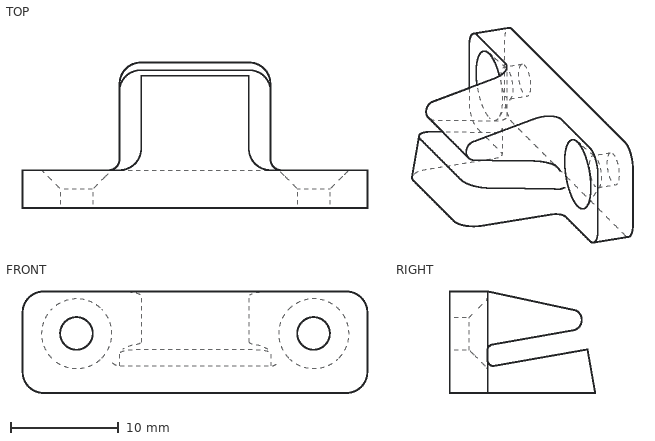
import cadquery as cq
import math

plate_length = 32.0
plate_height = 9.45
plate_thickness = 3.52
plate_corner_radius = 2.0
hole_diameter = 3.0
hole_spacing = 22.0
hole_height = 5.55
countersink_diameter = 6.5
countersink_angle = 90

slot_angle = math.radians(10)
slot_floor_height = 2.43
slot_roof_height = 4.4
slot_root_radius = 0.5
slot_slope = math.tan(slot_angle)

lower_width = 14.0
lower_reach = 13.5
lower_corner_radius = 2.0
lower_root_radius = 1.0

upper_width = 10.0
upper_reach = 12.25
upper_root_radius = 2.0
nose_radius = 1.0

overlap = 0.65
arm_start = plate_thickness - overlap


def extrude_profile(profile):
    """Extrude a Y-Z profile across the full plate length, centred on X."""
    return profile.close().extrude(plate_length / 2, both=True)


def arm_plan(width, root_radius):
    """Tall block with the arm's plan shape, flaring into the plate by arcs."""
    side = width / 2
    flare = side + root_radius
    arc_offset = root_radius * (1 - math.sqrt(0.5))
    root_end = plate_thickness + root_radius
    arc_y = plate_thickness + arc_offset
    return (
        cq.Workplane("XY")
        .moveTo(-flare, arm_start)
        .lineTo(flare, arm_start)
        .lineTo(flare, plate_thickness)
        .threePointArc((side + arc_offset, arc_y), (side, root_end))
        .lineTo(side, lower_reach)
        .lineTo(-side, lower_reach)
        .lineTo(-side, root_end)
        .threePointArc((-side - arc_offset, arc_y), (-flare, plate_thickness))
        .close()
        .extrude(plate_height)
    )


def make_plate():
    plate = (
        cq.Workplane("XY")
        .box(plate_length, plate_thickness, plate_height, centered=(True, False, False))
        .edges("|Y")
        .fillet(plate_corner_radius)
    )
    hole_centres = [(-hole_spacing / 2, hole_height), (hole_spacing / 2, hole_height)]
    return (
        plate.copyWorkplane(cq.Workplane("ZX", origin=(0, plate_thickness, 0)))
        .pushPoints([(z, x) for x, z in hole_centres])
        .cskHole(hole_diameter, countersink_diameter, countersink_angle)
    )


def make_lower_arm():
    end_top_y = lower_reach - slot_slope * (
        slot_floor_height + slot_slope * (lower_reach - plate_thickness)
    ) / (1 + slot_slope**2)
    end_top_z = slot_floor_height + slot_slope * (end_top_y - plate_thickness)
    body = extrude_profile(
        cq.Workplane("YZ")
        .moveTo(arm_start, 0)
        .lineTo(lower_reach, 0)
        .lineTo(end_top_y, end_top_z)
        .lineTo(plate_thickness, slot_floor_height)
        .lineTo(arm_start, slot_floor_height)
    )
    arm = body.intersect(arm_plan(lower_width, lower_root_radius))
    end_edges = arm.faces(">Y").edges("not |X")
    return arm.newObject(end_edges.vals()).fillet(lower_corner_radius)


def make_upper_arm():
    nose_y = upper_reach - nose_radius
    nose_z = (
        slot_roof_height
        + slot_slope * (nose_y - plate_thickness)
        + nose_radius / math.cos(slot_angle)
    )
    run = nose_y - plate_thickness
    drop = plate_height - nose_z
    top_angle = math.atan2(drop, run) + math.asin(nose_radius / math.hypot(run, drop))
    top_tangent = (
        nose_y + nose_radius * math.sin(top_angle),
        nose_z + nose_radius * math.cos(top_angle),
    )
    bottom_tangent = (
        nose_y + nose_radius * math.sin(slot_angle),
        nose_z - nose_radius * math.cos(slot_angle),
    )
    body = extrude_profile(
        cq.Workplane("YZ")
        .moveTo(arm_start, slot_roof_height)
        .lineTo(plate_thickness, slot_roof_height)
        .lineTo(*bottom_tangent)
        .threePointArc((upper_reach, nose_z), top_tangent)
        .lineTo(plate_thickness, plate_height)
        .lineTo(arm_start, plate_height)
    )
    return body.intersect(arm_plan(upper_width, upper_root_radius))


def root_fillet(corner_height, side):
    """Web rounding a slot corner at the plate; side is +1 for the floor, -1 for the roof."""
    corner_angle = math.pi / 2 - side * slot_angle
    tangent_length = slot_root_radius / math.tan(corner_angle / 2)
    plate_point = (plate_thickness, corner_height + side * tangent_length)
    slot_point = (
        plate_thickness + tangent_length * math.cos(slot_angle),
        corner_height + tangent_length * math.sin(slot_angle),
    )
    arc_middle_angle = slot_angle / 2 + side * math.pi / 4
    arc_middle_distance = slot_root_radius / math.sin(corner_angle / 2) - slot_root_radius
    arc_middle = (
        plate_thickness + arc_middle_distance * math.cos(arc_middle_angle),
        corner_height + arc_middle_distance * math.sin(arc_middle_angle),
    )
    return extrude_profile(
        cq.Workplane("YZ")
        .moveTo(arm_start, corner_height)
        .lineTo(plate_thickness, corner_height)
        .lineTo(*slot_point)
        .threePointArc(arc_middle, plate_point)
        .lineTo(arm_start, plate_point[1])
    )


floor_fillet = root_fillet(slot_floor_height, 1).intersect(arm_plan(lower_width, lower_root_radius))
roof_fillet = root_fillet(slot_roof_height, -1).intersect(arm_plan(upper_width, upper_root_radius))

result = (
    make_plate()
    .union(make_lower_arm())
    .union(make_upper_arm())
    .union(floor_fillet)
    .union(roof_fillet)
)